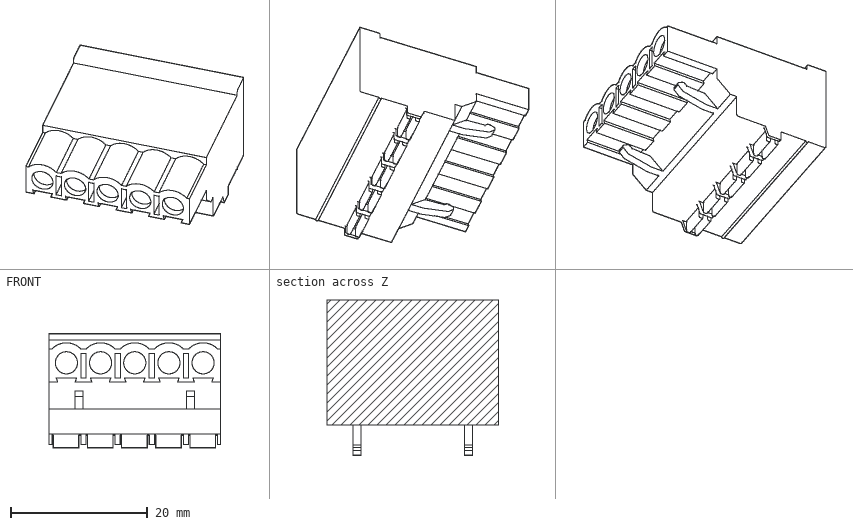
import cadquery as cq


width = 25.1
depth = 26.6
pole_count = 5
pole_pitch = 5.0
pole_xs = [(i - (pole_count - 1) / 2) * pole_pitch for i in range(pole_count)]
wall_xs = [(i - pole_count / 2) * pole_pitch for i in range(pole_count + 1)]

body_top = 13.78
body_front = 8.27
body_front_bottom = 5.8
bevel_back = 10.53
step_height = 3.67
lower_front = 11.6
lip_front = 23.4
lip_top = 14.68
edge_radius = 0.3

tongue_bottom = 7.58
tongue_shoulder = 12.42
bore_height = 10.43
pole_radius = 2.93
bore_radius = 1.62
bore_depth = 1.06

slot_width = 0.8
slot_top = 11.75
keyway_top = 8.22
keyway_top_width = 2.98
keyway_mouth_width = 2.55

latch_width = 1.22
latch_offset = 8.17
latch_bend = 8.6
latch_knee_y = 4.7
latch_knee_z = 4.6
latch_knee_radius = 0.53
latch_tip = 3.85
latch_tip_bottom = 5.48
latch_tip_top = 5.9
latch_tip_radius = 0.2
catch_front = 4.58
catch_back = 4.97
catch_foot = 5.37
catch_top = 6.3
arm_top_front = 5.88
arm_top_back = 5.72

rib_width = 0.8
rib_back = 19.07
rib_front_top = 16.45
rib_front_bottom = 16.97
rib_height = 1.55
rib_radius = 0.13
root_size = 0.53
leg_width = 3.78
leg_shift = -0.05
leg_height = 2.02
leg_spans = [(16.97, 17.64), (18.4, 18.97)]
leg_edge_radius = 0.2
bead_radius = 0.2


def extrude_along_x(points, length, center_x=0):
    """Extrude a closed (Y, Z) outline along X, centred on center_x."""
    outline = cq.Workplane("YZ").workplane(offset=center_x - length / 2)
    return outline.polyline(points).close().extrude(length)


def block(x_span, y_span, z_span):
    """Axis-aligned box given by its limits."""
    size = [end - start for start, end in (x_span, y_span, z_span)]
    corner = (x_span[0], y_span[0], z_span[0])
    return cq.Workplane("XY").box(*size, centered=False).translate(corner)


def round_x_edges(solid, points, radius, x=0):
    """Fillet the edges along X that pass through the given (Y, Z) points."""
    for y, z in points:
        solid = solid.edges(cq.NearestToPointSelector((x, y, z))).fillet(radius)
    return solid


def make_body():
    outline = [
        (depth, 0),
        (depth, lip_top),
        (lip_front, lip_top),
        (lip_front, body_top),
        (body_front, body_top),
        (body_front, body_front_bottom),
        (bevel_back, step_height),
        (lower_front, step_height),
        (lower_front, 0),
    ]
    rounded = [
        (lip_front, lip_top),
        (body_front, body_front_bottom),
        (lower_front, 0),
        (depth, 0),
    ]
    return round_x_edges(extrude_along_x(outline, width), rounded, edge_radius)


def make_tongue():
    half_width = width / 2
    tongue = block((-half_width, half_width), (0, body_front), (tongue_bottom, tongue_shoulder))
    front = cq.Workplane("XZ")
    above_shoulder = block((-half_width, half_width), (0, body_front), (tongue_shoulder, body_top))
    for x in pole_xs:
        barrel = front.center(x, bore_height).circle(pole_radius).extrude(-body_front)
        tongue = tongue.union(barrel.intersect(above_shoulder))

    bore_centers = [(x, bore_height) for x in pole_xs]
    bores = front.pushPoints(bore_centers).circle(bore_radius).extrude(-bore_depth)
    tongue = tongue.cut(bores)
    for x in wall_xs[1:-1]:
        x_span = (x - slot_width / 2, x + slot_width / 2)
        tongue = tongue.cut(block(x_span, (0, body_front), (keyway_top, slot_top)))
    for x in pole_xs:
        keyway = [
            (x - keyway_mouth_width / 2, tongue_bottom),
            (x - keyway_top_width / 2, keyway_top),
            (x + keyway_top_width / 2, keyway_top),
            (x + keyway_mouth_width / 2, tongue_bottom),
        ]
        tongue = tongue.cut(front.polyline(keyway).close().extrude(-body_front))
    return tongue


def make_latch(center_x):
    """Hook reaching forward from the bevel, with a raised catch at its tip."""
    knee = (latch_knee_y, latch_knee_z)
    tip_top = (latch_tip, latch_tip_top)
    outline = [
        (lower_front, step_height),
        (latch_bend, step_height),
        knee,
        (latch_tip, latch_tip_bottom),
        tip_top,
        (catch_front, catch_top),
        (catch_back, catch_top),
        (catch_foot, arm_top_front),
        (body_front, arm_top_back),
        (lower_front, arm_top_back),
    ]
    latch = extrude_along_x(outline, latch_width, center_x)
    latch = round_x_edges(latch, [knee], latch_knee_radius, center_x)
    return round_x_edges(latch, [tip_top], latch_tip_radius, center_x)


def make_ribs():
    """Tapered feet centred between the poles; the outermost ones are trimmed at the sides."""
    ribs = cq.Workplane("XY")
    rounded = [
        (rib_back, 0),
        (rib_back, -rib_height),
        (rib_front_bottom, -rib_height),
        (rib_front_top, 0),
    ]
    root_back = rib_back + root_size
    root_front = rib_front_top - root_size
    outline = [
        (root_back, root_size),
        (root_back, 0),
        *rounded,
        (root_front, 0),
        (root_front, root_size),
    ]
    for wall_x in wall_xs:
        left = max(wall_x - rib_width / 2, -width / 2)
        right = min(wall_x + rib_width / 2, width / 2)
        center_x = (left + right) / 2
        rib = extrude_along_x(outline, right - left, center_x)
        ribs = ribs.add(round_x_edges(rib, rounded, rib_radius, center_x))
    return ribs.combine()


def make_contact_legs():
    legs = cq.Workplane("XY")
    for pole_x in pole_xs:
        center_x = pole_x + leg_shift
        x_span = (center_x - leg_width / 2, center_x + leg_width / 2)
        for y_span in leg_spans:
            leg = block(x_span, y_span, (-leg_height, root_size))
            legs = legs.add(leg.edges("|X and <Z").fillet(leg_edge_radius))
    return legs.combine()


def make_bead():
    """Thin round bead across the underside, below the front of the top lip."""
    start = cq.Workplane("YZ").workplane(offset=-width / 2)
    return start.center(lip_front, 0).circle(bead_radius).extrude(width)


result = make_body().union(make_tongue())
for side in (-1, 1):
    result = result.union(make_latch(side * latch_offset))
result = result.union(make_ribs()).union(make_contact_legs()).union(make_bead())